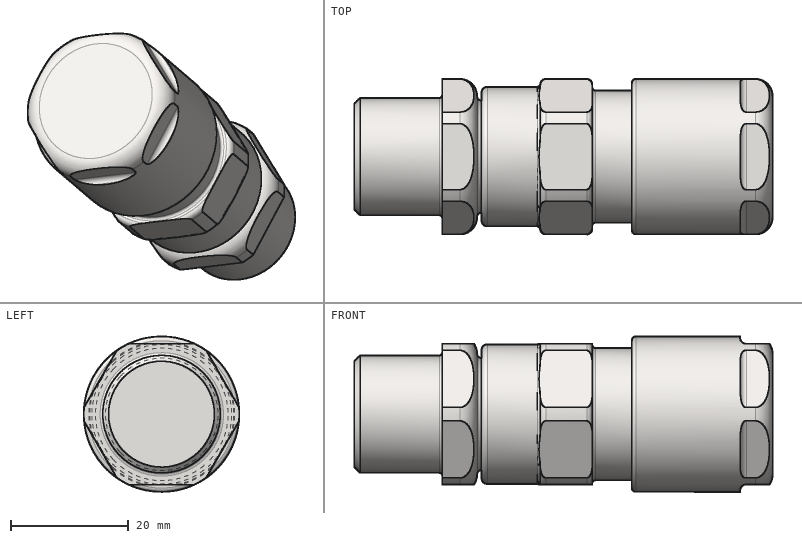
import cadquery as cq
import math


corner_radius = 26.5 / 2
across_flats = 24.0
root_fillet = 0.5
dome_radius = 3.0

entry_radius = 20.0 / 2
entry_chamfer = 1.0
entry_hex_start = 14.95
entry_hex_end = 20.95
neck_radius = 19.2 / 2

sleeve_start = 21.65
sleeve_radius = 23.8 / 2
sleeve_rounding = 1.0
middle_hex_start = 31.6
middle_hex_end = 40.55
middle_hex_rounding = 1.0
tail_radius = 22.6 / 2

cap_start = 47.25
cap_end = 71.25
cap_rounding = 0.7
cap_flat_start = 65.7
cap_flat_fillet = 1.0

diagonal = math.sqrt(0.5)


def arc_to(profile, end, center, radius, side_x, side_r):
    """Draw a quarter arc to `end`; its middle lies diagonally from `center` on the given side."""
    middle = (center[0] + side_x * radius * diagonal, center[1] + side_r * radius * diagonal)
    return profile.threePointArc(middle, end)


def rise_fillet(profile, face_x, radius, fillet):
    """Concave fillet from a cylinder up to a face at `face_x`."""
    profile = profile.lineTo(face_x - fillet, radius)
    center = (face_x - fillet, radius + fillet)
    return arc_to(profile, (face_x, radius + fillet), center, fillet, 1, -1)


def fall_fillet(profile, face_x, radius, fillet):
    """Concave fillet from a face at `face_x` down to a cylinder; the profile must stand at its top."""
    center = (face_x + fillet, radius + fillet)
    return arc_to(profile, (face_x + fillet, radius), center, fillet, -1, -1)


def rise_rounding(profile, face_x, radius, rounding):
    """Convex rounding from a face at `face_x` out to a cylinder."""
    profile = profile.lineTo(face_x, radius - rounding)
    center = (face_x + rounding, radius - rounding)
    return arc_to(profile, (face_x + rounding, radius), center, rounding, -1, 1)


def fall_rounding(profile, face_x, radius, rounding):
    """Convex rounding from a cylinder in to a face at `face_x`."""
    profile = profile.lineTo(face_x - rounding, radius)
    center = (face_x - rounding, radius - rounding)
    return arc_to(profile, (face_x, radius - rounding), center, rounding, 1, 1)


def turned(profile, end_x):
    """Close the half profile along the X axis and turn it into a solid."""
    return profile.lineTo(end_x, 0).close().revolve(360, (0, 0, 0), (1, 0, 0))


def cut_flats(body, start_x, end_x, inner_fillet=0.0):
    """Mill six flats, one facing +Z, from `start_x` to `end_x`."""
    flat_count = 6
    flat_height = across_flats / 2
    cutter_size = 2 * corner_radius
    cutter = cq.Workplane("XY").box(
        end_x - start_x, cutter_size, cutter_size, centered=(False, True, False)
    )
    if inner_fillet:
        cutter = cutter.edges("<X and <Z").fillet(inner_fillet)
    cutter = cutter.translate((start_x, 0, flat_height))
    for index in range(flat_count):
        body = body.cut(cutter.rotate((0, 0, 0), (1, 0, 0), 360 / flat_count * index))
    return body


def make_entry_fitting():
    profile = cq.Workplane("XY").moveTo(0, 0).lineTo(0, entry_radius - entry_chamfer)
    profile = profile.lineTo(entry_chamfer, entry_radius)
    profile = rise_fillet(profile, entry_hex_start, entry_radius, root_fillet)
    profile = profile.lineTo(entry_hex_start, corner_radius)
    profile = fall_rounding(profile, entry_hex_end, corner_radius, dome_radius)
    neck_fillet = corner_radius - dome_radius - neck_radius
    profile = fall_fillet(profile, entry_hex_end, neck_radius, neck_fillet)
    profile = profile.lineTo(sleeve_start, neck_radius)
    fitting = turned(profile, sleeve_start)
    return cut_flats(fitting, entry_hex_start, entry_hex_end)


def make_middle_body():
    profile = cq.Workplane("XY").moveTo(sleeve_start, 0)
    profile = rise_rounding(profile, sleeve_start, sleeve_radius, sleeve_rounding)
    profile = rise_fillet(profile, middle_hex_start, sleeve_radius, root_fillet)
    profile = rise_rounding(profile, middle_hex_start, corner_radius, middle_hex_rounding)
    profile = fall_rounding(profile, middle_hex_end, corner_radius, middle_hex_rounding)
    profile = profile.lineTo(middle_hex_end, tail_radius + root_fillet)
    profile = fall_fillet(profile, middle_hex_end, tail_radius, root_fillet)
    profile = profile.lineTo(cap_start, tail_radius)
    body = turned(profile, cap_start)
    return cut_flats(body, middle_hex_start - root_fillet, middle_hex_end)


def make_cap():
    profile = cq.Workplane("XY").moveTo(cap_start, 0)
    profile = rise_rounding(profile, cap_start, corner_radius, cap_rounding)
    profile = fall_rounding(profile, cap_end, corner_radius, dome_radius)
    cap = turned(profile, cap_end)
    return cut_flats(cap, cap_flat_start, cap_end, cap_flat_fillet)


entry_fitting = make_entry_fitting()
middle_body = make_middle_body()
cap = make_cap()

result = cq.Compound.makeCompound([entry_fitting.val(), middle_body.val(), cap.val()])